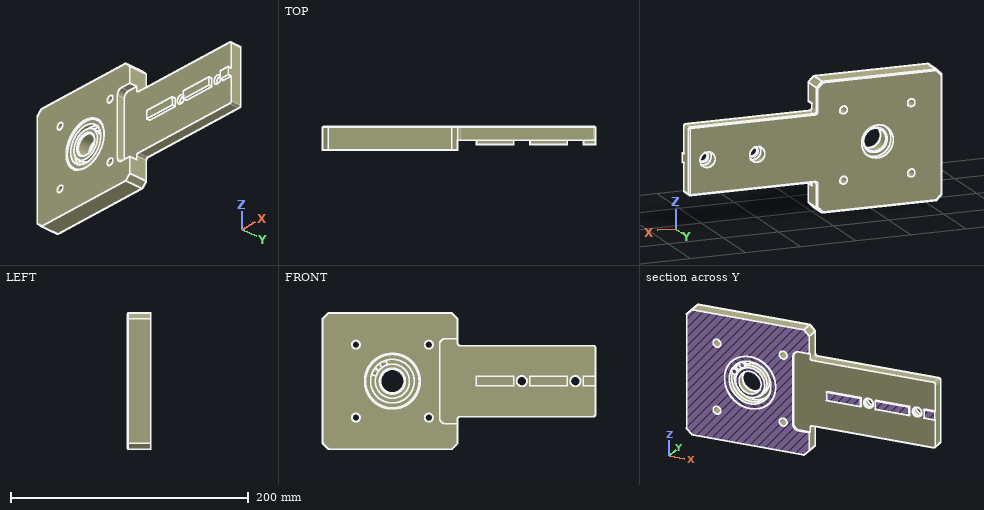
import cadquery as cq
import math


HOUSING_LENGTH = 113.8
HOUSING_HEIGHT = 115.0
HOUSING_DEPTH = 20.0
CORNER_CHAMFER = 5.0
BACK_CHAMFER = 1.0

ARM_END_X = 230.0
ARM_HEIGHT = 60.0
ARM_THICKNESS = 12.0
ARM_FILLET = 2.0
ARM_FRONT_Y = HOUSING_DEPTH - ARM_THICKNESS

RECESS_LENGTH = 15.2
RECESS_HEIGHT = 71.8
RECESS_FILLET = 5.0
RECESS_START_X = HOUSING_LENGTH - RECESS_LENGTH

ARM_HOLE_COUNT = 2
ARM_HOLE_DIAMETER = 8.5
ARM_HOLE_PITCH = 45.0
FIRST_ARM_HOLE_X = 168.0
COUNTERBORE_DIAMETER = 13.5
COUNTERBORE_DEPTH = 9.0
ARM_HOLE_CENTERS = [(FIRST_ARM_HOLE_X + i * ARM_HOLE_PITCH, 0) for i in range(ARM_HOLE_COUNT)]

KEY_COUNT = ARM_HOLE_COUNT + 1
KEY_HEIGHT = 8.0
KEY_PROJECTION = 3.5
KEY_GAP = 13.5
KEY_LENGTH = ARM_HOLE_PITCH - KEY_GAP
FIRST_KEY_X = FIRST_ARM_HOLE_X - KEY_GAP / 2 - KEY_LENGTH

BEARING_X = 58.9
BEARING_INSET = 0.7
BEARING_WIDTH = 14.0
BEARING_DIAMETER = 47.0
BORE_DIAMETER = 20.0
INNER_RING_DIAMETER = 28.8
OUTER_RING_BORE = 36.8
RING_CHAMFER = 1.0
BEARING_BACK_Y = BEARING_INSET + BEARING_WIDTH

BALL_DIAMETER = 5.8
BALL_ANGLES = (116.5, 152.5)
BALL_Y = BEARING_INSET + BEARING_WIDTH / 2
PITCH_RADIUS = (INNER_RING_DIAMETER + OUTER_RING_BORE) / 4

SCREW_HOLE_DIAMETER = 6.7
SCREW_HOLE_SPACING = 61.5

PICK_MARGIN = 0.2


def backward_plane(y):
    """Sketch plane at the given Y whose extrusions run toward +Y; local x is X."""
    return cq.Workplane(cq.Plane(origin=(0, y, 0), xDir=(1, 0, 0), normal=(0, 1, 0)))


def block(x_start, x_end, height, y_start, y_end):
    """Rectangular block centred on Z = 0."""
    return (
        backward_plane(y_start)
        .center((x_start + x_end) / 2, 0)
        .rect(x_end - x_start, height)
        .extrude(y_end - y_start)
    )


def bearing_disc(diameter, y_start, y_end):
    """Cylinder on the bearing axis."""
    return backward_plane(y_start).center(BEARING_X, 0).circle(diameter / 2).extrude(y_end - y_start)


def make_arm_and_housing():
    housing = block(0, HOUSING_LENGTH, HOUSING_HEIGHT, 0, HOUSING_DEPTH)
    housing = housing.edges("|Y").chamfer(CORNER_CHAMFER)

    recess = block(RECESS_START_X, HOUSING_LENGTH, RECESS_HEIGHT, 0, ARM_FRONT_Y)
    recess = recess.edges("|Y and <X").fillet(RECESS_FILLET)

    arm = block(RECESS_START_X, ARM_END_X, ARM_HEIGHT, ARM_FRONT_Y, HOUSING_DEPTH)
    arm = arm.edges("|Y and >X").fillet(ARM_FILLET)

    root_edges = cq.selectors.BoxSelector(
        (HOUSING_LENGTH - PICK_MARGIN, 0, -ARM_HEIGHT / 2 - PICK_MARGIN),
        (HOUSING_LENGTH + PICK_MARGIN, HOUSING_DEPTH, ARM_HEIGHT / 2 + PICK_MARGIN),
    )
    body = housing.cut(recess).union(arm)
    body = body.edges("|Y").edges(root_edges).fillet(ARM_FILLET)
    return body.faces(">Y").chamfer(BACK_CHAMFER)


def make_key(index):
    """Guide key; the last one stops at the end of the arm."""
    x_start = FIRST_KEY_X + index * ARM_HOLE_PITCH
    x_end = min(x_start + KEY_LENGTH, ARM_END_X)
    return block(x_start, x_end, KEY_HEIGHT, ARM_FRONT_Y - KEY_PROJECTION, ARM_FRONT_Y)


def make_arm_holes():
    """Through holes of the arm together with their counterbores."""
    holes = (
        backward_plane(ARM_FRONT_Y)
        .pushPoints(ARM_HOLE_CENTERS)
        .circle(ARM_HOLE_DIAMETER / 2)
        .extrude(ARM_THICKNESS)
    )
    counterbores = (
        backward_plane(HOUSING_DEPTH - COUNTERBORE_DEPTH)
        .pushPoints(ARM_HOLE_CENTERS)
        .circle(COUNTERBORE_DIAMETER / 2)
        .extrude(COUNTERBORE_DEPTH)
    )
    return holes.union(counterbores)


def make_screw_holes():
    return (
        backward_plane(0)
        .center(BEARING_X, 0)
        .rect(SCREW_HOLE_SPACING, SCREW_HOLE_SPACING, forConstruction=True)
        .vertices()
        .circle(SCREW_HOLE_DIAMETER / 2)
        .extrude(HOUSING_DEPTH)
    )


def make_bearing_seat():
    """Pocket for the bearing, with a hole through its shoulder that clears the inner ring."""
    pocket = bearing_disc(BEARING_DIAMETER, 0, BEARING_BACK_Y)
    return pocket.union(bearing_disc(INNER_RING_DIAMETER, 0, HOUSING_DEPTH))


def make_plate():
    body = make_arm_and_housing()
    for index in range(KEY_COUNT):
        body = body.union(make_key(index))
    return body.cut(make_arm_holes()).cut(make_screw_holes()).cut(make_bearing_seat())


def make_raceway():
    """Ring swept by a ball around the bearing axis."""
    return (
        cq.Workplane("XY")
        .center(BEARING_X + PITCH_RADIUS, BALL_Y)
        .circle(BALL_DIAMETER / 2)
        .revolve(360, (-PITCH_RADIUS, 0, 0), (-PITCH_RADIUS, 1, 0))
    )


def make_outer_ring():
    ring = bearing_disc(BEARING_DIAMETER, BEARING_INSET, BEARING_BACK_Y)
    ring = ring.faces("<Y or >Y").edges().chamfer(RING_CHAMFER)
    return ring.cut(bearing_disc(OUTER_RING_BORE, BEARING_INSET, BEARING_BACK_Y)).cut(make_raceway())


def make_inner_ring():
    ring = bearing_disc(INNER_RING_DIAMETER, BEARING_INSET, BEARING_BACK_Y)
    ring = ring.cut(bearing_disc(BORE_DIAMETER, BEARING_INSET, BEARING_BACK_Y))
    bore_edges = cq.selectors.RadiusNthSelector(0)
    return ring.edges(bore_edges).chamfer(RING_CHAMFER).cut(make_raceway())


def make_ball(angle_degrees):
    """Ball on the pitch circle, at an angle measured from +X toward +Z."""
    angle = math.radians(angle_degrees)
    x = BEARING_X + PITCH_RADIUS * math.cos(angle)
    z = PITCH_RADIUS * math.sin(angle)
    return cq.Workplane("XY").sphere(BALL_DIAMETER / 2).translate((x, BALL_Y, z))


plate = make_plate()
outer_ring = make_outer_ring()
inner_ring = make_inner_ring()
balls = [make_ball(angle) for angle in BALL_ANGLES]

result = cq.Compound.makeCompound(
    [plate.val(), outer_ring.val(), inner_ring.val(), *[ball.val() for ball in balls]]
)